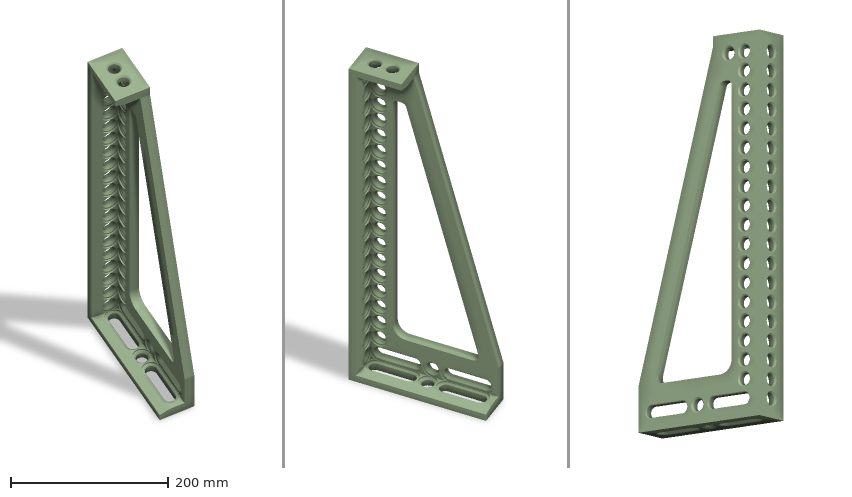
import cadquery as cq
import math

length = 195.0
depth = 50.0
height = 500.0
top_flange_length = 75.0

plate = 14.0
edge_plate = 10.0
taper_width = 15.0
web_front = depth - plate

slope_bottom = 60.0
slope_top = height - plate

window_left = 45.0
window_bottom = slope_bottom
window_top = 440.0
rim_width = 24.5
heel_radius = 18.5
toe_radius = 9.0
peak_radius = 7.0

pitch = 25.0
hole_diameter = 16.0
hole_chamfer = 2.0
slot_width = 16.0
slot_chamfer = 1.0
spotface_diameter = 24.5
seat_thickness = 12.0
slot_travel = 2 * pitch
slot_starts = [pitch, 5 * pitch]
single_hole = 4 * pitch
grid_rows = round(height / pitch) - 1

overlap = 0.5


def front_prism(points, y_start, y_end):
    """Closed XZ outline extruded along Y."""
    plane = cq.Workplane("XZ", origin=(0, y_start, 0))
    return plane.polyline(points).close().extrude(y_start - y_end)


def inner_rectangle(thickness):
    """XZ outline of the space between the plates, open past the +X end."""
    right = length + overlap
    top = height - thickness
    return [(thickness, thickness), (right, thickness), (right, top), (thickness, top)]


def inner_space():
    """Space in front of the web, flared towards the open front edge."""
    straight = front_prism(inner_rectangle(plate), 0, web_front)
    flare = (
        cq.Workplane("XZ")
        .polyline(inner_rectangle(edge_plate)).close()
        .workplane(offset=-taper_width)
        .polyline(inner_rectangle(plate)).close()
        .loft(ruled=True)
    )
    return straight.union(flare)


def web_window():
    """Four-cornered window whose right side runs parallel to the sloping edge."""
    run = length - top_flange_length
    rise = slope_top - slope_bottom
    side_shift = rim_width * math.hypot(run, rise) / rise

    def right_side(z):
        return length - side_shift - (z - slope_bottom) * run / rise

    corners = [
        (window_left, window_bottom, heel_radius),
        (right_side(window_bottom), window_bottom, toe_radius),
        (right_side(window_top), window_top, peak_radius),
        (window_left, window_top, peak_radius),
    ]
    window = front_prism([(x, z) for x, z, _ in corners], web_front - overlap, depth + overlap)
    for x, z, radius in corners:
        corner_edge = cq.selectors.NearestToPointSelector((x, depth, z))
        window = window.edges("|Y").edges(corner_edge).fillet(radius)
    return window


def stadium(plane, travel, diameter, bottom, top, taper=0):
    """Round prism, or a slot reaching travel along local X, between two heights above the plane."""
    base = cq.Workplane(plane).workplane(offset=bottom)
    if travel:
        base = base.center(travel / 2, 0).slot2D(travel + diameter, diameter)
    else:
        base = base.circle(diameter / 2)
    return base.extrude(top - bottom, taper=taper)


def hole_cutter(origin, along, inward, travel=0):
    """Through hole or slot chamfered at both ends, with a flat seat cut into the inner face.

    origin lies on the outer face, along is the slot direction, inward points into the bracket.
    """
    plane = cq.Plane(origin=origin, xDir=along, normal=inward)
    width = slot_width if travel else hole_diameter
    bevel = slot_chamfer if travel else hole_chamfer
    bore = stadium(plane, travel, width, 0, seat_thickness)
    outer_bevel = stadium(plane, travel, width + 2 * bevel, 0, bevel, taper=45)
    inner_bevel = stadium(plane, travel, width, seat_thickness - bevel, seat_thickness, taper=-45)
    seat = stadium(plane, travel, spotface_diameter, seat_thickness, plate)
    return bore.union(outer_bevel).union(inner_bevel).union(seat)


x_axis = (1, 0, 0)
y_axis = (0, 1, 0)
up = (0, 0, 1)
down = (0, 0, -1)
forward = (0, -1, 0)

middle = depth / 2

outline = [
    (0, 0),
    (length, 0),
    (length, slope_bottom),
    (top_flange_length, slope_top),
    (top_flange_length, height),
    (0, height),
]
body = front_prism(outline, 0, depth).cut(inner_space()).cut(web_window())

cutters = []

for row in range(1, grid_rows + 1):
    z = row * pitch
    cutters.append(hole_cutter((0, middle, z), y_axis, x_axis))
    if row > 1:
        cutters.append(hole_cutter((pitch, depth, z), x_axis, forward))

cutters.append(hole_cutter((2 * pitch, depth, height - pitch), x_axis, forward))
for x in (pitch, 2 * pitch):
    cutters.append(hole_cutter((x, middle, height), x_axis, down))

for y, z, inward in ((middle, 0, up), (depth, pitch, forward)):
    cutters.append(hole_cutter((single_hole, y, z), x_axis, inward))
    for x in slot_starts:
        cutters.append(hole_cutter((x, y, z), x_axis, inward, slot_travel))

for cutter in cutters:
    body = body.cut(cutter)

result = body